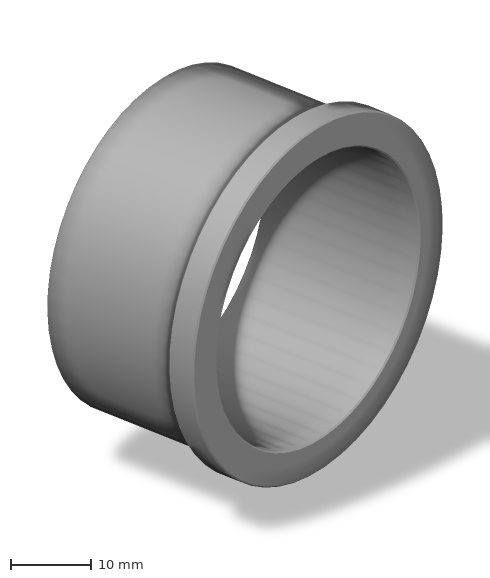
import cadquery as cq

total_length = 25.0
flange_thickness = 4.0
flange_diameter = 49.5
sleeve_diameter = 46.0
bore_diameter = 40.0
edge_chamfer = 0.2

flange_start = total_length - flange_thickness


def make_ring(start, end, outer_diameter):
    """Ring around the X axis between two X positions, open through the bore."""
    bore_radius = bore_diameter / 2
    outer_radius = outer_diameter / 2
    section = (
        cq.Workplane("XZ")
        .moveTo(start, bore_radius)
        .lineTo(end, bore_radius)
        .lineTo(end, outer_radius)
        .lineTo(start, outer_radius)
        .close()
    )
    return section.revolve(360, (0, 0, 0), (1, 0, 0))


def make_flange():
    """Collar at the +X end, with the outer rim facing the sleeve chamfered."""
    flange = make_ring(flange_start, total_length, flange_diameter)
    shoulder_rim = flange.faces("<X").edges(cq.selectors.RadiusNthSelector(-1))
    return shoulder_rim.chamfer(edge_chamfer)


def make_bushing():
    """Sleeve and flange joined, with the inner and outer rims of both ends chamfered."""
    sleeve = make_ring(0, total_length, sleeve_diameter)
    bushing = sleeve.union(make_flange())
    bushing = bushing.faces("<X").edges().chamfer(edge_chamfer)
    return bushing.faces(">X").edges().chamfer(edge_chamfer)


result = make_bushing()